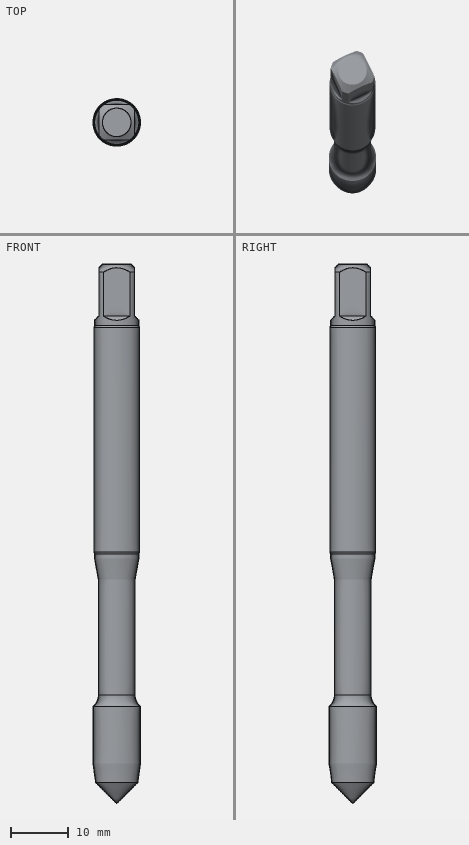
import cadquery as cq
import math

total_length = 93.65

head_diameter = 8.2
tip_length = 3.65
lead_length = 3.3
land_length = 9.9
runout_length = 2.0

neck_diameter = 6.4
collar_diameter = 7.7
shank_diameter = 8.0
edge_chamfer_length = 0.3
neck_top_z = 38.9
collar_bottom_z = 42.5
shank_bottom_z = 43.4
shank_top_z = 83.0

square_width = 6.2
square_height = 9.0
drive_top_diameter = 5.0

head_radius = head_diameter / 2
neck_radius = neck_diameter / 2
collar_radius = collar_diameter / 2
shank_radius = shank_diameter / 2
drive_top_radius = drive_top_diameter / 2
lead_top_z = tip_length + lead_length
land_top_z = lead_top_z + land_length
head_top_z = land_top_z + runout_length


def revolve_profile(profile):
    """Turn a closed radius-height profile around the Z axis."""
    return profile.close().revolve(360, (0, 0, 0), (0, 1, 0))


def make_head():
    """Threading head, ending where the run-out is tangent to the neck."""
    rise = head_radius - neck_radius
    arc_radius = (runout_length**2 + rise**2) / (2 * rise)
    half_angle = math.asin(runout_length / arc_radius) / 2
    arc_middle = (
        neck_radius + arc_radius * (1 - math.cos(half_angle)),
        head_top_z - arc_radius * math.sin(half_angle),
    )
    profile = (
        cq.Workplane("XZ")
        .moveTo(0, 0)
        .lineTo(tip_length, tip_length)
        .lineTo(head_radius, lead_top_z)
        .lineTo(head_radius, land_top_z)
        .threePointArc(arc_middle, (neck_radius, head_top_z))
        .lineTo(0, head_top_z)
    )
    return revolve_profile(profile)


def make_turned_shank():
    """Neck, cone, collar, shank and chamfered drive end as one turned shape."""
    drive_chamfer = collar_radius - drive_top_radius
    profile = (
        cq.Workplane("XZ")
        .moveTo(0, head_top_z)
        .lineTo(neck_radius, head_top_z)
        .lineTo(neck_radius, neck_top_z)
        .lineTo(collar_radius, collar_bottom_z)
        .lineTo(collar_radius, shank_bottom_z)
        .lineTo(shank_radius, shank_bottom_z + edge_chamfer_length)
        .lineTo(shank_radius, shank_top_z - edge_chamfer_length)
        .lineTo(collar_radius, shank_top_z)
        .lineTo(collar_radius, total_length - drive_chamfer)
        .lineTo(drive_top_radius, total_length)
        .lineTo(0, total_length)
    )
    return revolve_profile(profile)


def make_flat_cutter():
    """Cutter for the flat on the +X side, with a 45 degree slope at its foot."""
    inner = square_width / 2
    outer = head_radius
    flat_bottom_z = total_length - square_height
    return (
        cq.Workplane("XZ")
        .moveTo(inner, total_length)
        .lineTo(inner, flat_bottom_z)
        .lineTo(outer, flat_bottom_z - (outer - inner))
        .lineTo(outer, total_length)
        .close()
        .extrude(head_radius, both=True)
    )


def make_shank():
    """Turned shank with four flats forming the square drive."""
    body = make_turned_shank()
    for angle in (0, 90, 180, 270):
        cutter = make_flat_cutter().rotate((0, 0, 0), (0, 0, 1), angle)
        body = body.cut(cutter)
    return body


head = make_head()
shank = make_shank()
result = cq.Compound.makeCompound([head.val(), shank.val()])